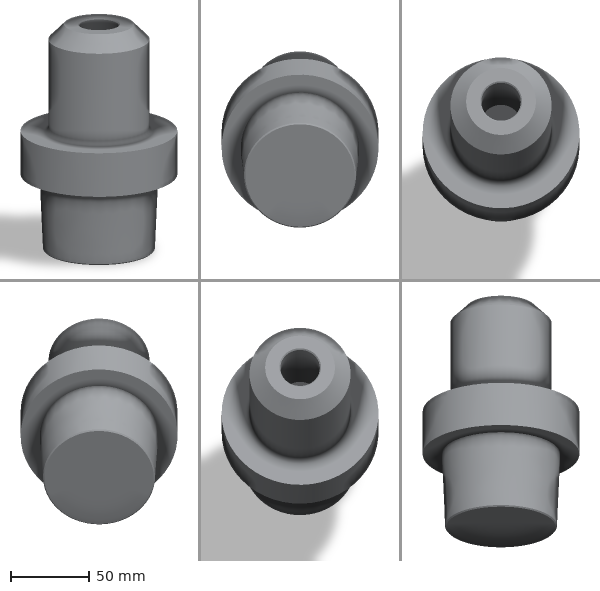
import cadquery as cq
import math

shank_length = 50.0
flange_thickness = 29.0
spigot_length = 70.9
flange_top = shank_length + flange_thickness
total_height = flange_top + spigot_length

flange_radius = 50.0
spigot_radius = 32.25
spigot_root_fillet = 2.75

nose_height = 10.0
nose_tip_radius = spigot_radius - nose_height

shank_top_radius = 37.75
shank_bottom_radius = 35.7
shank_chamfer = 0.8
collar_height = 2.3

bore_radius = 12.6
bore_depth = 50.0
bore_chamfer = 0.8


def turned_body():
    """Revolve the outer half profile about Z."""
    fillet_end_radius = spigot_radius + spigot_root_fillet
    fillet_bulge = spigot_root_fillet * (1 - math.sin(math.radians(45)))
    fillet_middle = (spigot_radius + fillet_bulge, flange_top + fillet_bulge)

    half_profile = (
        cq.Workplane("YZ")
        .lineTo(shank_bottom_radius - shank_chamfer, 0)
        .lineTo(shank_bottom_radius, shank_chamfer)
        .lineTo(shank_top_radius, shank_length - collar_height)
        .lineTo(shank_top_radius, shank_length)
        .lineTo(flange_radius, shank_length)
        .lineTo(flange_radius, flange_top)
        .lineTo(fillet_end_radius, flange_top)
        .threePointArc(fillet_middle, (spigot_radius, flange_top + spigot_root_fillet))
        .lineTo(spigot_radius, total_height - nose_height)
        .lineTo(nose_tip_radius, total_height)
        .lineTo(0, total_height)
        .close()
    )
    return half_profile.revolve(360, (0, 0, 0), (0, 1, 0))


def bore_cutter():
    """Revolve the volume removed by the blind bore and its chamfered mouth."""
    bore_floor = total_height - bore_depth
    half_profile = (
        cq.Workplane("YZ", origin=(0, 0, bore_floor))
        .lineTo(bore_radius, 0)
        .lineTo(bore_radius, bore_depth - bore_chamfer)
        .lineTo(bore_radius + bore_chamfer, bore_depth)
        .lineTo(0, bore_depth)
        .close()
    )
    return half_profile.revolve(360, (0, 0, 0), (0, 1, 0))


result = turned_body().cut(bore_cutter())